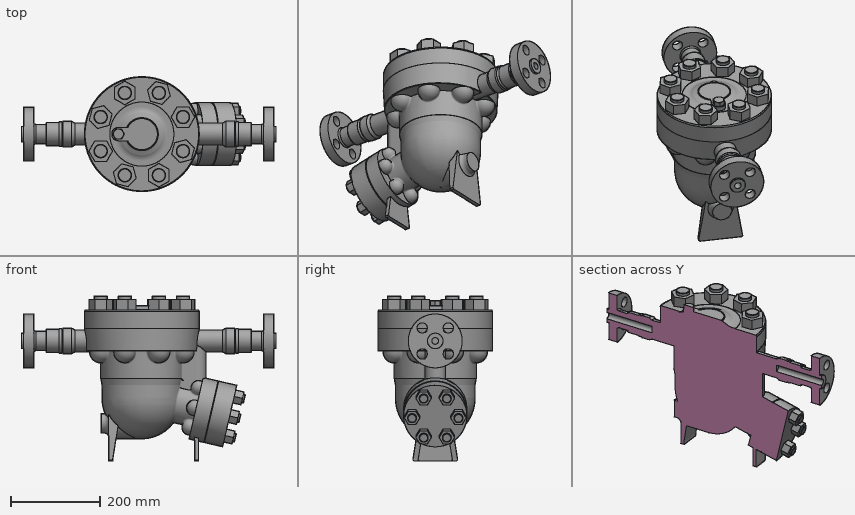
import cadquery as cq
import math


COVER_RADIUS = 129.0
COVER_TOP = 69.5
JOINT_Z = 28.0
FLANGE_BOTTOM = -23.0
FLANGE_BOTTOM_HALF_X = 124.8
ELLIPSE_ALLOWANCE = 0.001
FLANGE_RIM_HEIGHT = 2.5
FLANGE_RIM_CHAMFER = 1.2
COVER_CHAMFER_HEIGHT = 3.5
COVER_CHAMFER_WIDTH = 1.5
NECK_RADIUS = 93.0
NECK_BOTTOM = -84.5
NECK_STEP = 0.8
SHELL_RADIUS = 89.5
SHELL_TOP = -99.0
DOME_START = -127.0
BODY_BOTTOM = -220.0

PAD_RADIUS = 72.0
PAD_HEIGHT = 0.8
FILLET_OUTER_RADIUS = 60.5
CONE_OUTER_RADIUS = 48.5
CONE_INNER_RADIUS = 37.0
CONE_BOTTOM = 74.3
CONE_TOP = 78.8
DISC_RADIUS = 35.0
DISC_TOP = 80.0
PLUG_X = -52.5
PLUG_SEAT_WIDTH = 30.0
PLUG_HEX_FLATS = 23.0
PLUG_TOP = 90.5
PLUG_CHAMFER_HEIGHT = 1.3

BOLT_COUNT = 8
BOLT_CIRCLE_RADIUS = 100.0
FIRST_BOLT_ANGLE = 22.5
NUT_FLATS = 46.0
NUT_HEIGHT = 24.0
STUD_DIAMETER = 30.0
STUD_PROJECTION = 7.5
STUD_CHAMFER = 1.0
BOSS_RADIUS = 25.0
BOSS_CENTRE_OFFSET = 1.5

INLET_X = -270.5
PIPE_LENGTH = 572.0
OUTLET_X = INLET_X + PIPE_LENGTH
RAISED_FACE_DIAMETER = 34.9
RAISED_FACE_HEIGHT = 5.0
PIPE_FLANGE_DIAMETER = 121.0
PIPE_FLANGE_THICKNESS = 23.0
HUB_DIAMETER = 48.0
HUB_LENGTH = 4.5
NIPPLE_DIAMETER = 44.0
NIPPLE_END = 55.0
SOCKET_DIAMETER = 53.0
SOCKET_CHAMFER = 2.0
SOCKET_END = 84.8
BEAD_DIAMETER = 56.5
BEAD_END = 91.2
COLLAR_DIAMETER = 58.0
COLLAR_START = 94.0
COLLAR_END = 113.0
PIPE_DIAMETER = 50.0
PIPE_START = 120.0
BORE_DIAMETER = 15.0
PIPE_BOLT_HOLE_DIAMETER = 23.0
PIPE_BOLT_CIRCLE_RADIUS = 83.0 / 2
PIPE_BOLT_COUNT = 4
PIPE_FIRST_BOLT_ANGLE = 45.0

DUCT_WIDTH = 46.0
DUCT_CENTRE_X = 121.5
DUCT_BOTTOM = -130.0

STRAINER_TILT = 13.0
STRAINER_AXIS_Z = -123.0
STRAINER_JOINT_DISTANCE = 160.0
STRAINER_NECK_RADIUS = 43.0
STRAINER_NECK_START = 40.0
STRAINER_CORE_LENGTH = 30.0
CASTING_BLEND = 5.0
BOSS_BLEND = 3.0
STRAINER_FLANGE_RADIUS = 71.0
STRAINER_FLANGE_THICKNESS = 35.0
STRAINER_COVER_THICKNESS = 42.5
STRAINER_GAP_WIDTH = 1.5
STRAINER_GAP_DEPTH = 1.0
STRAINER_BOLT_COUNT = 6
STRAINER_BOLT_CIRCLE_RADIUS = 52.0
STRAINER_NUT_FLATS = 30.0
STRAINER_NUT_HEIGHT = 19.0
STRAINER_STUD_DIAMETER = 20.0
STRAINER_STUD_PROJECTION = 4.5
STRAINER_BOSS_RADIUS = 17.5
STRAINER_BOSS_CENTRE_OFFSET = 4.5

DRAIN_Z = -185.0
DRAIN_FACE_X = -91.5
DRAIN_FACE_LENGTH = 7.0
DRAIN_FACE_RADIUS = 22.0
DRAIN_FLARE_RADIUS = 33.0
DRAIN_FLARE_INSET = 0.5
DRAIN_BARREL_RADIUS = 35.0
DRAIN_BARREL_START = -57.0

FOOT_Z = -270.0
LEG_THICKNESS = 9.3
LEG_FOOT_HEIGHT = 5.0
INLET_LEG_FOOT_WIDTH = 101.0
OUTLET_LEG_FOOT_WIDTH = 77.0
LEG_TOP_Z = -163.0
LEG_TAPER = 33.0
LEG_CHAMFER = 3.0
INLET_LEG_X = -74.3
INLET_LEG_TOP_THICKNESS = 21.5
INLET_LEG_WEDGE_Z = -187.0
OUTLET_LEG_X = 118.4
OUTLET_LEG_TOP_Z = -185.0

OVERLAP = 5.0


def cylinder(radius, bottom, top):
    return cq.Workplane("XY").workplane(offset=bottom).circle(radius).extrude(top - bottom)


def hexagon(flats, bottom, top):
    """Hexagonal prism on the Z axis with a corner toward +X."""
    corners = flats / math.cos(math.pi / 6)
    return cq.Workplane("XY").workplane(offset=bottom).polygon(6, corners).extrude(top - bottom)


def bolt_set(nut_flats, nut_height, stud_diameter, projection, seat):
    """Nut resting on the seat plane with the chamfered stud end above it."""
    nut_top = seat + nut_height
    stud = cylinder(stud_diameter / 2, nut_top - OVERLAP, nut_top + projection)
    return hexagon(nut_flats, seat, nut_top).union(stud.faces(">Z").chamfer(STUD_CHAMFER))


def round_boss(radius, face, centre):
    """Ball-ended boss hanging below a flange face."""
    ball = cq.Workplane("XY").sphere(radius).translate((0, 0, centre))
    below = cylinder(radius, centre - 2 * radius, face)
    return ball.intersect(below).union(cylinder(radius, centre, face + OVERLAP))


def polar_copies(shape, radius, count, first_angle):
    """Copies of a shape turned about the Z axis, as a list."""
    placed = shape.translate((radius, 0, 0))
    step = 360 / count
    return [placed.rotate((0, 0, 0), (0, 0, 1), first_angle + i * step) for i in range(count)]


def blended_bosses(core, core_radius, bosses, face):
    """Round bosses on a cylindrical core, with fillets where they meet it below the face."""
    blended = join([core] + bosses)
    seams = []
    for edge in blended.edges("%BSPLINE").vals():
        centre = edge.Center()
        if centre.z < face and math.hypot(centre.x, centre.y) < core_radius:
            seams.append(edge)
    return blended.newObject(seams).fillet(BOSS_BLEND)


def join(shapes):
    total = shapes[0]
    for shape in shapes[1:]:
        total = total.union(shape)
    return total


def make_body_shell():
    dome_depth = DOME_START - BODY_BOTTOM
    dome_mid = (SHELL_RADIUS * math.sqrt(0.5), DOME_START - dome_depth * math.sqrt(0.5))
    return (
        cq.Workplane("XZ")
        .moveTo(0, JOINT_Z)
        .lineTo(NECK_RADIUS, JOINT_Z)
        .lineTo(NECK_RADIUS, NECK_BOTTOM)
        .lineTo(NECK_RADIUS - NECK_STEP, NECK_BOTTOM)
        .lineTo(SHELL_RADIUS, SHELL_TOP)
        .lineTo(SHELL_RADIUS, DOME_START)
        .threePointArc(dome_mid, (0, BODY_BOTTOM))
        .close()
        .revolve(360, (0, 0, 0), (0, 1, 0))
    )


def make_body_flange():
    """Round at the cover joint, narrowing to an ellipse at its lower face."""
    rim_top = FLANGE_BOTTOM + FLANGE_RIM_HEIGHT
    tapered = (
        cq.Workplane("XY")
        .workplane(offset=rim_top)
        .ellipse(FLANGE_BOTTOM_HALF_X, COVER_RADIUS)
        .workplane(offset=JOINT_Z - rim_top)
        .ellipse(COVER_RADIUS - ELLIPSE_ALLOWANCE, COVER_RADIUS)
        .loft(ruled=True)
    )
    rim = (
        cq.Workplane("XY")
        .workplane(offset=FLANGE_BOTTOM)
        .ellipse(FLANGE_BOTTOM_HALF_X, COVER_RADIUS)
        .extrude(FLANGE_RIM_HEIGHT)
        .faces("<Z")
        .chamfer(FLANGE_RIM_CHAMFER)
    )
    return tapered.union(rim)


def make_cover():
    pad_top = COVER_TOP + PAD_HEIGHT
    disc = (
        cq.Workplane("XZ")
        .moveTo(0, JOINT_Z)
        .lineTo(COVER_RADIUS, JOINT_Z)
        .lineTo(COVER_RADIUS, COVER_TOP - COVER_CHAMFER_HEIGHT)
        .lineTo(COVER_RADIUS - COVER_CHAMFER_WIDTH, COVER_TOP)
        .lineTo(PAD_RADIUS, COVER_TOP)
        .lineTo(PAD_RADIUS, pad_top)
        .lineTo(FILLET_OUTER_RADIUS, pad_top)
        .tangentArcPoint((CONE_OUTER_RADIUS, CONE_BOTTOM), relative=False)
        .lineTo(CONE_INNER_RADIUS, CONE_TOP)
        .lineTo(DISC_RADIUS, CONE_TOP)
        .lineTo(DISC_RADIUS, DISC_TOP)
        .lineTo(0, DISC_TOP)
        .close()
        .revolve(360, (0, 0, 0), (0, 1, 0))
    )
    seat_height = DISC_TOP - COVER_TOP
    seat_arm = (
        cq.Workplane("XY")
        .box(-PLUG_X, PLUG_SEAT_WIDTH, seat_height, centered=(False, True, False))
        .translate((PLUG_X, 0, COVER_TOP))
    )
    seat_end = cylinder(PLUG_SEAT_WIDTH / 2, COVER_TOP, DISC_TOP).translate((PLUG_X, 0, 0))
    plug_radius = PLUG_HEX_FLATS / math.sqrt(3)
    plug_chamfer_width = plug_radius - PLUG_HEX_FLATS / 2
    plug_bounds = cylinder(plug_radius, DISC_TOP, PLUG_TOP)
    plug_bounds = plug_bounds.faces(">Z").chamfer(PLUG_CHAMFER_HEIGHT, plug_chamfer_width)
    plug = hexagon(PLUG_HEX_FLATS, DISC_TOP, PLUG_TOP).intersect(plug_bounds)
    return join([disc, seat_arm, seat_end, plug.translate((PLUG_X, 0, 0))])


def make_cover_bolting():
    bolt = bolt_set(NUT_FLATS, NUT_HEIGHT, STUD_DIAMETER, STUD_PROJECTION, COVER_TOP)
    bolt = bolt.rotate((0, 0, 0), (0, 0, 1), -FIRST_BOLT_ANGLE)
    return join(polar_copies(bolt, BOLT_CIRCLE_RADIUS, BOLT_COUNT, FIRST_BOLT_ANGLE))


def make_body_bosses():
    boss = round_boss(BOSS_RADIUS, FLANGE_BOTTOM, FLANGE_BOTTOM - BOSS_CENTRE_OFFSET)
    bosses = polar_copies(boss, BOLT_CIRCLE_RADIUS, BOLT_COUNT, FIRST_BOLT_ANGLE)
    core = cylinder(NECK_RADIUS, NECK_BOTTOM, FLANGE_BOTTOM + OVERLAP)
    return blended_bosses(core, NECK_RADIUS, bosses, FLANGE_BOTTOM)


def make_pipe():
    """Inlet pipe from its raised face at X = 0 inward along +X."""
    flange_back = RAISED_FACE_HEIGHT + PIPE_FLANGE_THICKNESS
    socket_start_radius = SOCKET_DIAMETER / 2 - SOCKET_CHAMFER
    bead_middle = (SOCKET_END + BEAD_END) / 2
    inner_end = -INLET_X - NECK_RADIUS + OVERLAP
    outer_profile = [
        (0, 0),
        (0, RAISED_FACE_DIAMETER / 2),
        (RAISED_FACE_HEIGHT, RAISED_FACE_DIAMETER / 2),
        (RAISED_FACE_HEIGHT, PIPE_FLANGE_DIAMETER / 2),
        (flange_back, PIPE_FLANGE_DIAMETER / 2),
        (flange_back, HUB_DIAMETER / 2),
        (flange_back + HUB_LENGTH, NIPPLE_DIAMETER / 2),
        (NIPPLE_END, NIPPLE_DIAMETER / 2),
        (NIPPLE_END, socket_start_radius),
        (NIPPLE_END + SOCKET_CHAMFER, SOCKET_DIAMETER / 2),
        (SOCKET_END, SOCKET_DIAMETER / 2),
    ]
    pipe = (
        cq.Workplane("XZ")
        .polyline(outer_profile)
        .threePointArc((bead_middle, BEAD_DIAMETER / 2), (BEAD_END, SOCKET_DIAMETER / 2))
        .lineTo(COLLAR_START, COLLAR_DIAMETER / 2)
        .lineTo(COLLAR_END, COLLAR_DIAMETER / 2)
        .lineTo(PIPE_START, PIPE_DIAMETER / 2)
        .lineTo(inner_end, PIPE_DIAMETER / 2)
        .lineTo(inner_end, 0)
        .close()
        .revolve(360, (0, 0, 0), (1, 0, 0))
    )
    bore = cq.Workplane("YZ").circle(BORE_DIAMETER / 2).extrude(PIPE_START)
    bolt_holes = (
        cq.Workplane("YZ")
        .polarArray(PIPE_BOLT_CIRCLE_RADIUS, PIPE_FIRST_BOLT_ANGLE, 360, PIPE_BOLT_COUNT)
        .circle(PIPE_BOLT_HOLE_DIAMETER / 2)
        .extrude(flange_back)
    )
    return pipe.cut(bore).cut(bolt_holes)


def make_duct():
    """Passage with flat sides and a round outer end, dropping from the outlet pipe."""
    web = (
        cq.Workplane("XY")
        .box(DUCT_CENTRE_X, DUCT_WIDTH, -DUCT_BOTTOM, centered=(False, True, False))
        .translate((0, 0, DUCT_BOTTOM))
    )
    outer_end = cylinder(DUCT_WIDTH / 2, DUCT_BOTTOM, 0).translate((DUCT_CENTRE_X, 0, 0))
    return web.union(outer_end)


def strainer_frame(distance):
    """Plane across the tilted strainer axis at a distance from the body axis."""
    tilt = math.radians(STRAINER_TILT)
    direction = cq.Vector(math.cos(tilt), 0, -math.sin(tilt))
    centre = cq.Vector(0, 0, STRAINER_AXIS_Z) + direction * distance
    return cq.Plane(origin=centre, xDir=(0, 1, 0), normal=direction)


def make_strainer_neck():
    frame = strainer_frame(STRAINER_NECK_START)
    length = STRAINER_JOINT_DISTANCE - STRAINER_NECK_START
    return cq.Workplane(frame).circle(STRAINER_NECK_RADIUS).extrude(length)


def make_casting():
    """Body shell with the duct and strainer neck blended into its side."""
    casting = join([make_body_shell(), make_strainer_neck(), make_duct()])
    blend_zone = cq.selectors.BoxSelector(
        (SHELL_RADIUS / 2, -SHELL_RADIUS, BODY_BOTTOM),
        (NECK_RADIUS, SHELL_RADIUS, FLANGE_BOTTOM),
    )
    side_edges = []
    for edge in casting.edges(blend_zone).vals():
        if abs(edge.Center().y) > DUCT_WIDTH / 4:
            side_edges.append(edge)
    return casting.newObject(side_edges).fillet(CASTING_BLEND)


def make_strainer():
    """Built along +Z from the cover joint, then laid over onto the tilted axis."""
    near_face = -STRAINER_FLANGE_THICKNESS
    bolt = bolt_set(
        STRAINER_NUT_FLATS,
        STRAINER_NUT_HEIGHT,
        STRAINER_STUD_DIAMETER,
        STRAINER_STUD_PROJECTION,
        STRAINER_COVER_THICKNESS,
    )
    boss = round_boss(STRAINER_BOSS_RADIUS, near_face, near_face - STRAINER_BOSS_CENTRE_OFFSET)
    bosses = polar_copies(boss, STRAINER_BOLT_CIRCLE_RADIUS, STRAINER_BOLT_COUNT, 0)
    core = cylinder(STRAINER_NECK_RADIUS, near_face - STRAINER_CORE_LENGTH, near_face + OVERLAP)
    half_gap = STRAINER_GAP_WIDTH / 2
    pieces = [
        blended_bosses(core, STRAINER_NECK_RADIUS, bosses, near_face),
        cylinder(STRAINER_FLANGE_RADIUS, near_face, -half_gap),
        cylinder(STRAINER_FLANGE_RADIUS - STRAINER_GAP_DEPTH, -half_gap, half_gap),
        cylinder(STRAINER_FLANGE_RADIUS, half_gap, STRAINER_COVER_THICKNESS),
    ]
    pieces += polar_copies(bolt, STRAINER_BOLT_CIRCLE_RADIUS, STRAINER_BOLT_COUNT, 0)
    frame = strainer_frame(STRAINER_JOINT_DISTANCE)
    return cq.Workplane(join(pieces).val().moved(cq.Location(frame)))


def make_drain():
    flare_start = DRAIN_FACE_X + DRAIN_FACE_LENGTH
    drain = (
        cq.Workplane("XZ")
        .moveTo(DRAIN_FACE_X, 0)
        .lineTo(DRAIN_FACE_X, DRAIN_FACE_RADIUS)
        .lineTo(flare_start, DRAIN_FACE_RADIUS)
        .tangentArcPoint((INLET_LEG_X + DRAIN_FLARE_INSET, DRAIN_FLARE_RADIUS), relative=False)
        .lineTo(DRAIN_BARREL_START, DRAIN_BARREL_RADIUS)
        .lineTo(0, DRAIN_BARREL_RADIUS)
        .lineTo(0, 0)
        .close()
        .revolve(360, (0, 0, 0), (1, 0, 0))
    )
    return drain.translate((0, 0, DRAIN_Z))


def leg_front_outline(foot_width):
    """Trapezoid in the YZ plane with clipped foot corners."""
    half_foot = foot_width / 2
    half_top = half_foot - LEG_TAPER / 2
    return [
        (-half_foot + LEG_CHAMFER, FOOT_Z),
        (half_foot - LEG_CHAMFER, FOOT_Z),
        (half_foot, FOOT_Z + LEG_CHAMFER),
        (half_top, LEG_TOP_Z),
        (-half_top, LEG_TOP_Z),
        (-half_foot, FOOT_Z + LEG_CHAMFER),
    ]


def make_leg(side_outline, foot_width):
    """Leg whose XZ section is the given outline, trimmed to the trapezoid."""
    plate = cq.Workplane("XZ").polyline(side_outline).close().extrude(foot_width, both=True)
    reach = OUTLET_X - INLET_X
    front_outline = leg_front_outline(foot_width)
    trim = cq.Workplane("YZ").polyline(front_outline).close().extrude(reach, both=True)
    return plate.intersect(trim)


def make_legs():
    inlet_back = INLET_LEG_X + LEG_THICKNESS
    inlet_top_back = INLET_LEG_X + INLET_LEG_TOP_THICKNESS
    inlet_side = [
        (INLET_LEG_X, FOOT_Z),
        (inlet_back, FOOT_Z),
        (inlet_back, FOOT_Z + LEG_FOOT_HEIGHT),
        (inlet_top_back, INLET_LEG_WEDGE_Z),
        (inlet_top_back, LEG_TOP_Z),
        (INLET_LEG_X, LEG_TOP_Z),
    ]
    outlet_back = OUTLET_LEG_X + LEG_THICKNESS
    outlet_side = [
        (OUTLET_LEG_X, FOOT_Z),
        (outlet_back, FOOT_Z),
        (outlet_back, OUTLET_LEG_TOP_Z),
        (OUTLET_LEG_X, OUTLET_LEG_TOP_Z),
    ]
    inlet_leg = make_leg(inlet_side, INLET_LEG_FOOT_WIDTH)
    outlet_leg = make_leg(outlet_side, OUTLET_LEG_FOOT_WIDTH)
    return inlet_leg.union(outlet_leg)


pipe = make_pipe()
inlet = pipe.translate((INLET_X, 0, 0))
outlet = pipe.mirror("YZ").translate((OUTLET_X, 0, 0))

result = join([
    make_casting(),
    make_body_bosses(),
    make_body_flange(),
    make_cover(),
    make_cover_bolting(),
    inlet,
    outlet,
    make_strainer(),
    make_drain(),
    make_legs(),
])